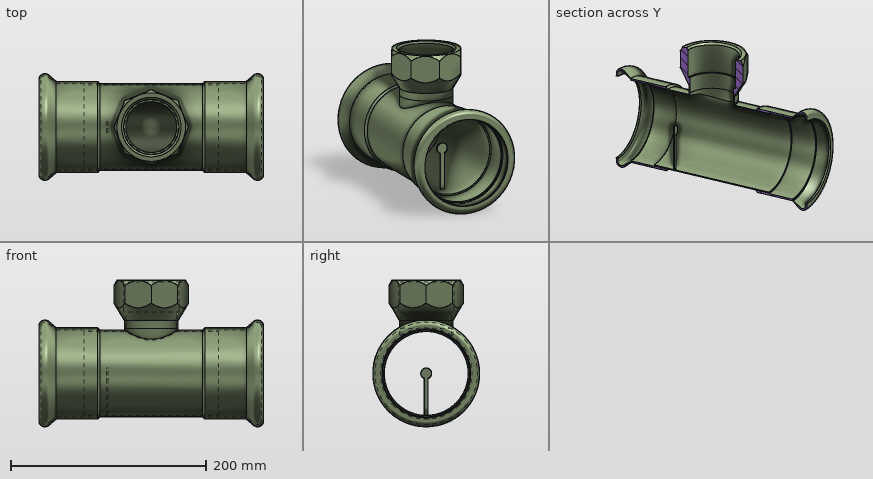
import cadquery as cq
import math

TOTAL_LENGTH = 230.0
TUBE_OUTER_DIA = 89.0
TUBE_INNER_DIA = 85.8
TUBE_HALF_LENGTH = 69.0

SOCKET_OUTER_DIA = 93.5
SOCKET_INNER_DIA = TUBE_OUTER_DIA
SOCKET_INNER_END = 52.7
SOCKET_WALL = (SOCKET_OUTER_DIA - SOCKET_INNER_DIA) / 2
BEAD_OUTER_DIA = 109.5
BEAD_RADIUS = 6.2
MOUTH_DIA = 91.0
HOLLOW_END_DIA = 91.0
CONE_START = 104.9
CONE_END = 97.3

NECK_OUTER_DIA = 55.0
NECK_INNER_DIA = 52.0
COLLAR_TOP = 46.2

FITTING_TOP = 95.5
FITTING_CONE_BOTTOM = 54.0
OCTAGON_SIDES = 8
OCTAGON_CORNER_DIA = 76.4
FITTING_TOP_DIA = 70.2
TOP_CONE_HEIGHT = 5.5
FLATS_LOWER_CORNER = 72.0
THREAD_MOUTH_DIA = 61.0
THREAD_BOTTOM_DIA = 56.5
THREAD_LEAD_IN = 2.0
THREAD_BOTTOM = 63.0

TAB_DISC_DIA = 11.3
TAB_STEM_WIDTH = 4.1
TAB_THICKNESS = 1.5
TAB_FACE_X = -46.0


def x_cylinder(diameter, half_length):
    """Cylinder on the X axis, centred on the origin."""
    plane = cq.Workplane("YZ", origin=(-half_length, 0, 0))
    return plane.circle(diameter / 2).extrude(2 * half_length)


def make_tab():
    """Flat keyhole-shaped tab inside the tube, square to its axis and rooted in its wall."""
    wall_middle = (TUBE_OUTER_DIA + TUBE_INNER_DIA) / 4
    plane = cq.Workplane("YZ", origin=(TAB_FACE_X, 0, 0))
    disc = plane.circle(TAB_DISC_DIA / 2).extrude(TAB_THICKNESS)
    stem = plane.center(0, -wall_middle / 2).rect(TAB_STEM_WIDTH, wall_middle).extrude(TAB_THICKNESS)
    return disc.union(stem)


def make_tee_tube():
    """Straight tube with a short collar for the branch and the tab inside."""
    tube = x_cylinder(TUBE_OUTER_DIA, TUBE_HALF_LENGTH)
    collar = cq.Workplane("XY").circle(NECK_OUTER_DIA / 2).extrude(COLLAR_TOP)
    branch_bore = cq.Workplane("XY").circle(NECK_INNER_DIA / 2).extrude(COLLAR_TOP)
    run_bore = x_cylinder(TUBE_INNER_DIA, TUBE_HALF_LENGTH)
    return tube.union(collar).cut(branch_bore).cut(run_bore).union(make_tab())


def make_socket(side):
    """Press socket with a hollow rolled bead; side is +1 for +X, -1 for -X."""
    end = TOTAL_LENGTH / 2
    outer = SOCKET_OUTER_DIA / 2
    inner = SOCKET_INNER_DIA / 2
    mouth = MOUTH_DIA / 2
    bead_x = end - BEAD_RADIUS
    bead_r = BEAD_OUTER_DIA / 2 - BEAD_RADIUS
    hollow_radius = BEAD_RADIUS - SOCKET_WALL
    cone_start_angle = math.acos((CONE_START - bead_x) / BEAD_RADIUS)
    cone_start_r = bead_r + BEAD_RADIUS * math.sin(cone_start_angle)
    hollow_start_x = bead_x + hollow_radius * math.cos(cone_start_angle)
    hollow_start_r = bead_r + hollow_radius * math.sin(cone_start_angle)
    face_back = end - SOCKET_WALL

    profile = (
        cq.Workplane("XY")
        .moveTo(SOCKET_INNER_END, inner)
        .lineTo(SOCKET_INNER_END + SOCKET_WALL, outer)
        .lineTo(CONE_END, outer)
        .lineTo(CONE_START, cone_start_r)
        .threePointArc((bead_x, BEAD_OUTER_DIA / 2), (end, bead_r))
        .lineTo(end, mouth)
        .lineTo(face_back, mouth)
        .lineTo(face_back, bead_r)
        .threePointArc((bead_x, bead_r + hollow_radius), (hollow_start_x, hollow_start_r))
        .lineTo(CONE_END, HOLLOW_END_DIA / 2)
        .lineTo(CONE_END, inner)
        .close()
    )
    socket = profile.revolve(360, (0, 0, 0), (1, 0, 0))
    return socket if side > 0 else socket.mirror("YZ")


def make_fitting():
    """Female threaded end: octagon with coned corners, cone and neck."""
    neck = NECK_OUTER_DIA / 2
    corner = OCTAGON_CORNER_DIA / 2
    envelope = (
        cq.Workplane("XZ")
        .moveTo(0, COLLAR_TOP)
        .lineTo(neck, COLLAR_TOP)
        .lineTo(neck, FITTING_CONE_BOTTOM)
        .lineTo(corner, FLATS_LOWER_CORNER)
        .lineTo(corner, FITTING_TOP - TOP_CONE_HEIGHT)
        .lineTo(FITTING_TOP_DIA / 2, FITTING_TOP)
        .lineTo(0, FITTING_TOP)
        .close()
        .revolve(360, (0, 0, 0), (0, 1, 0))
    )
    octagon = (
        cq.Workplane("XY", origin=(0, 0, COLLAR_TOP))
        .polygon(OCTAGON_SIDES, OCTAGON_CORNER_DIA)
        .extrude(FITTING_TOP - COLLAR_TOP)
    )
    bore = (
        cq.Workplane("XZ")
        .moveTo(0, COLLAR_TOP)
        .lineTo(NECK_INNER_DIA / 2, COLLAR_TOP)
        .lineTo(NECK_INNER_DIA / 2, THREAD_BOTTOM)
        .lineTo(THREAD_BOTTOM_DIA / 2, THREAD_BOTTOM)
        .lineTo(THREAD_BOTTOM_DIA / 2, FITTING_TOP - THREAD_LEAD_IN)
        .lineTo(THREAD_MOUTH_DIA / 2, FITTING_TOP)
        .lineTo(0, FITTING_TOP)
        .close()
        .revolve(360, (0, 0, 0), (0, 1, 0))
    )
    return envelope.intersect(octagon).cut(bore)


tee_tube = make_tee_tube()
fitting = make_fitting()
sockets = [make_socket(side) for side in (-1, 1)]

result = cq.Compound.makeCompound(
    [tee_tube.val(), fitting.val(), *[socket.val() for socket in sockets]]
)